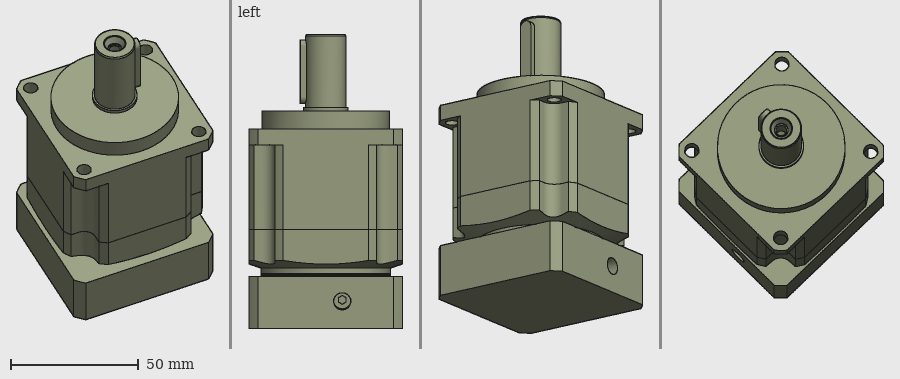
import cadquery as cq
import math


WIDTH = 60.0
CORNER_RADIUS = 40.0
BOLT_OFFSET = 24.7

BASE_TOP = 20.5
BASE_JOINT = 21.2
NECK_TOP = 23.7
JOINT = 38.8
FLANGE_BOTTOM = 71.9
FLANGE_TOP = 78.1
PILOT_TOP = 85.1
COLLAR_TOP = 86.5
SHAFT_TOP = 115.0

BODY_RADIUS = 34.4
CLEARANCE_RADIUS = 4.8
NECK_RADIUS = 25.4
NECK_CHAMFER = 0.3
UNDERSIDE_SLOPE = 1 / 3
PILOT_RADIUS = 25.0
BOLT_HOLE_DIAMETER = 5.5

SHAFT_RADIUS = 7.9
COLLAR_RADIUS = 8.7
SHAFT_CHAMFER_WIDTH = 0.3
SHAFT_CHAMFER_HEIGHT = 0.7
KEY_WIDTH = 5.1
KEY_LENGTH = 25.0
KEY_HEIGHT = 10.0
KEY_END_GAP = 2.1

CENTRE_MOUTH_RADIUS = 4.4
CENTRE_CONE_RADIUS = 4.0
CENTRE_PILOT_RADIUS = 2.6
CENTRE_BORE_RADIUS = 2.1
CENTRE_MOUTH_DEPTH = 0.2
CENTRE_PILOT_DEPTH = 3.3
CENTRE_BORE_DEPTH = 12.6
CONE_HALF_ANGLE = 30
DRILL_HALF_ANGLE = 59

ACCESS_Y = -6.4
ACCESS_Z = 10.7
ACCESS_DIAMETER = 6.7
SCREW_Z = 11.3
SCREW_HEAD_DIAMETER = 7.0
SCREW_HEAD_LENGTH = 4.0
SCREW_DIAMETER = 4.0
SCREW_LENGTH = 13.8
SCREW_FACE_X = -15.0
SOCKET_ACROSS_CORNERS = 3.5
SOCKET_DEPTH = 2.0


def disc(radius, bottom, top):
    return cq.Workplane("XY", origin=(0, 0, bottom)).circle(radius).extrude(top - bottom)


def square_block(corner_radius, bottom, top):
    """Square block whose vertical corners are turned round about the Z axis."""
    block = cq.Workplane("XY", origin=(0, 0, bottom)).rect(WIDTH, WIDTH).extrude(top - bottom)
    return block.intersect(disc(corner_radius, bottom, top))


def bolt_positions():
    return [(x, y) for x in (-BOLT_OFFSET, BOLT_OFFSET) for y in (-BOLT_OFFSET, BOLT_OFFSET)]


def relieved_body(bottom, top):
    """Square body with turned corners and a bolt clearance open at each corner."""
    body = square_block(BODY_RADIUS, bottom, top)
    inner = BOLT_OFFSET - CLEARANCE_RADIUS
    size = BODY_RADIUS
    centre = inner + size / 2
    clearances = (
        cq.Workplane("XY", origin=(0, 0, bottom))
        .rect(2 * centre, 2 * centre, forConstruction=True)
        .vertices()
        .rect(size, size)
        .extrude(top - bottom)
        .edges("|Z")
        .fillet(CLEARANCE_RADIUS)
    )
    return body.cut(clearances)


def screw_shape():
    return (
        cq.Workplane("YZ", origin=(SCREW_FACE_X, ACCESS_Y, SCREW_Z))
        .circle(SCREW_HEAD_DIAMETER / 2)
        .extrude(SCREW_HEAD_LENGTH)
        .faces(">X").workplane()
        .circle(SCREW_DIAMETER / 2)
        .extrude(SCREW_LENGTH - SCREW_HEAD_LENGTH)
    )


def make_screw():
    socket = (
        cq.Workplane("YZ", origin=(SCREW_FACE_X, ACCESS_Y, SCREW_Z))
        .transformed(rotate=(0, 0, 90))
        .polygon(6, SOCKET_ACROSS_CORNERS)
        .extrude(SOCKET_DEPTH)
    )
    return screw_shape().cut(socket)


def make_base():
    spigot = disc(NECK_RADIUS, BASE_TOP, BASE_JOINT).faces(">Z").chamfer(NECK_CHAMFER)
    base = square_block(CORNER_RADIUS, 0, BASE_TOP).union(spigot)
    access = (
        cq.Workplane("YZ", origin=(-WIDTH / 2, ACCESS_Y, ACCESS_Z))
        .circle(ACCESS_DIAMETER / 2)
        .extrude(SCREW_FACE_X + WIDTH / 2)
    )
    return base.cut(access).cut(screw_shape())


def make_ring_gear():
    rise = UNDERSIDE_SLOPE * (BODY_RADIUS - NECK_RADIUS)
    envelope = (
        cq.Workplane("XZ")
        .moveTo(0, NECK_TOP)
        .lineTo(NECK_RADIUS, NECK_TOP)
        .lineTo(BODY_RADIUS, NECK_TOP + rise)
        .lineTo(BODY_RADIUS, JOINT)
        .lineTo(0, JOINT)
        .close()
        .revolve(360, (0, 0, 0), (0, 1, 0))
    )
    ring = relieved_body(NECK_TOP, JOINT).intersect(envelope)
    neck = disc(NECK_RADIUS, BASE_JOINT, NECK_TOP).faces("<Z").chamfer(NECK_CHAMFER)
    return ring.union(neck)


def make_housing():
    flange = (
        square_block(CORNER_RADIUS, FLANGE_BOTTOM, FLANGE_TOP)
        .faces(">Z").workplane(origin=(0, 0, FLANGE_TOP))
        .pushPoints(bolt_positions())
        .hole(BOLT_HOLE_DIAMETER)
    )
    return relieved_body(JOINT, FLANGE_BOTTOM).union(flange).union(disc(PILOT_RADIUS, FLANGE_TOP, PILOT_TOP))


def centre_hole():
    cone_depth = (CENTRE_CONE_RADIUS - CENTRE_PILOT_RADIUS) / math.tan(math.radians(CONE_HALF_ANGLE))
    tip_depth = CENTRE_BORE_RADIUS / math.tan(math.radians(DRILL_HALF_ANGLE))
    return (
        cq.Workplane("XZ", origin=(0, 0, SHAFT_TOP))
        .lineTo(CENTRE_MOUTH_RADIUS, 0)
        .lineTo(CENTRE_CONE_RADIUS, -CENTRE_MOUTH_DEPTH)
        .lineTo(CENTRE_PILOT_RADIUS, -CENTRE_MOUTH_DEPTH - cone_depth)
        .lineTo(CENTRE_PILOT_RADIUS, -CENTRE_PILOT_DEPTH)
        .lineTo(CENTRE_BORE_RADIUS, -CENTRE_PILOT_DEPTH)
        .lineTo(CENTRE_BORE_RADIUS, -CENTRE_BORE_DEPTH)
        .lineTo(0, -CENTRE_BORE_DEPTH - tip_depth)
        .close()
        .revolve(360, (0, 0, 0), (0, 1, 0))
    )


def make_shaft():
    shaft = (
        cq.Workplane("XZ")
        .moveTo(0, PILOT_TOP)
        .lineTo(COLLAR_RADIUS, PILOT_TOP)
        .lineTo(COLLAR_RADIUS, COLLAR_TOP)
        .lineTo(SHAFT_RADIUS, COLLAR_TOP)
        .lineTo(SHAFT_RADIUS, SHAFT_TOP - SHAFT_CHAMFER_HEIGHT)
        .lineTo(SHAFT_RADIUS - SHAFT_CHAMFER_WIDTH, SHAFT_TOP)
        .lineTo(0, SHAFT_TOP)
        .close()
        .revolve(360, (0, 0, 0), (0, 1, 0))
    )
    key_middle = SHAFT_TOP - KEY_END_GAP - KEY_LENGTH / 2
    key = (
        cq.Workplane("XZ", origin=(0, KEY_HEIGHT, key_middle))
        .slot2D(KEY_LENGTH, KEY_WIDTH, 90)
        .extrude(KEY_HEIGHT / 2)
    )
    return shaft.union(key).cut(centre_hole())


base = make_base()
screw = make_screw()
ring_gear = make_ring_gear()
housing = make_housing()
shaft = make_shaft()

result = cq.Compound.makeCompound([base.val(), screw.val(), ring_gear.val(), housing.val(), shaft.val()])